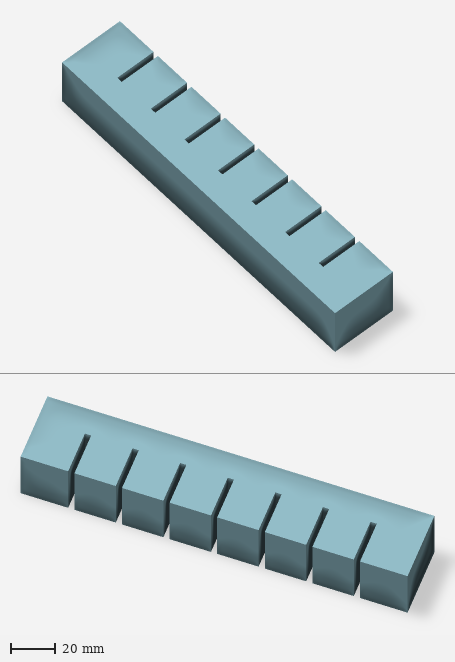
import cadquery as cq

length = 187.0
depth = 35.0
height = 30.0

slot_count = 7
slot_width = 3.0
slot_depth = 21.9
tooth_width = 20.0
slot_pitch = slot_width + tooth_width


def make_block():
    return cq.Workplane("XY").box(length, depth, height)


def make_slots():
    """Evenly spaced slot cutters, centred along X and open at the +Y face."""
    return (
        cq.Workplane("XY")
        .center(0, (depth - slot_depth) / 2)
        .rarray(slot_pitch, 1.9, slot_count, 1)
        .rect(slot_width, slot_depth)
        .extrude(height / 2, both=True)
    )


result = make_block().cut(make_slots())